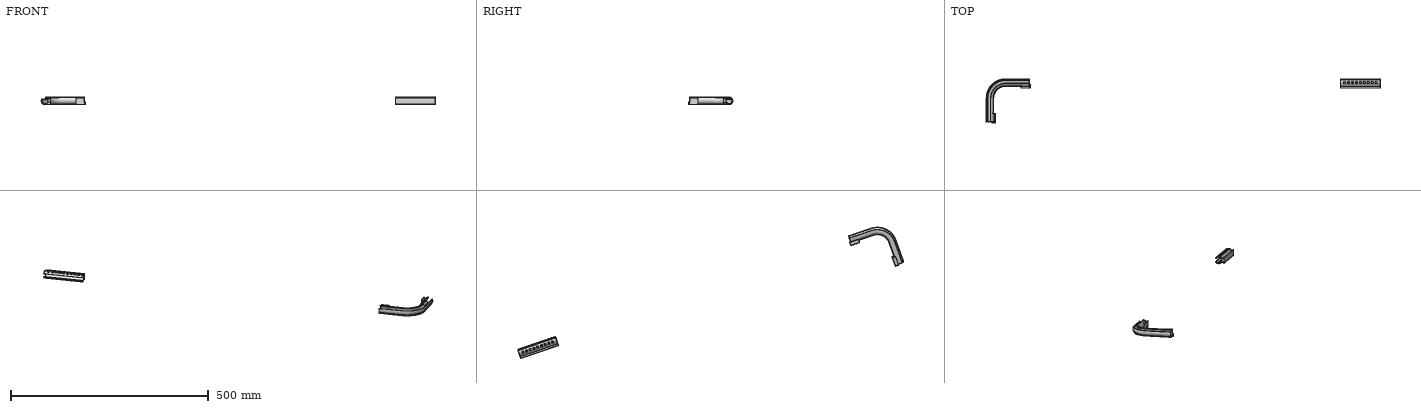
import cadquery as cq
import math

TUBE_RADIUS = 9.5
TUBE_BORE_RADIUS = 7.5

FOOT_FACE_OFFSET = 14.0
FOOT_FACE_HALF_HEIGHT = 7.5
GROOVE_OFFSET = 10.0
GROOVE_HALF_HEIGHT = 4.5
FOOT_ROOT_ANGLE = 134

BEND_RADIUS = 40.0
BEND_ANGLE = 90
DIAGONAL_NORMAL = cq.Vector(1, 1, 0)
ARM_LENGTH = 60.0
ELBOW_SLOT_ANGLES = (30, 102)
ELBOW_FOOT_LENGTH = 21.0
ELBOW_CORNER_OFFSET = 5.5
TONGUE_REACH = 2.5
TONGUE_INNER_OFFSET = 5.0
TONGUE_TOP = -3.2
TONGUE_TIP_INSET = 0.5

OVERALL_LENGTH = 997.0
RAIL_LENGTH = 101.0
RAIL_SLOT_WIDTH = 9.0
HOLE_DIAMETER = 5.0
HOLE_PITCH = 10.0
HOLE_COUNT = 9

ARM_END = BEND_RADIUS + ARM_LENGTH
RAIL_END = OVERALL_LENGTH - TUBE_RADIUS
RAIL_START = RAIL_END - RAIL_LENGTH


def polar(radius, degrees):
    """Section point (y, z) at an angle from the outward direction (+Y) toward +Z."""
    angle = math.radians(degrees)
    return (radius * math.cos(angle), radius * math.sin(angle))


def section_plane(x):
    """Plane across the tube, with local axes along Y and Z."""
    return cq.Workplane("YZ", origin=(x, 0, 0))


def slotted_tube_section(x, slot_from, slot_to):
    """C-shaped wall section, open between two angles."""
    middle = (slot_from + slot_to) / 2 + 180
    return (
        section_plane(x)
        .moveTo(*polar(TUBE_RADIUS, slot_to))
        .threePointArc(polar(TUBE_RADIUS, middle), polar(TUBE_RADIUS, slot_from))
        .lineTo(*polar(TUBE_BORE_RADIUS, slot_from))
        .threePointArc(polar(TUBE_BORE_RADIUS, middle), polar(TUBE_BORE_RADIUS, slot_to))
        .close()
    )


def bore(x, length):
    return section_plane(x).circle(TUBE_BORE_RADIUS).extrude(length)


def foot(x, length):
    """Dovetail foot with a V groove between it and the tube, above and below."""
    root_y, root_z = polar(TUBE_RADIUS, FOOT_ROOT_ANGLE)
    upper = [
        (root_y, root_z),
        (-GROOVE_OFFSET, GROOVE_HALF_HEIGHT),
        (-FOOT_FACE_OFFSET, FOOT_FACE_HALF_HEIGHT),
    ]
    lower = [(y, -z) for y, z in reversed(upper)]
    return section_plane(x).polyline(upper + lower).close().extrude(length).cut(bore(x, length))


def tongue(x, length, face_offset):
    """Bar under the foot, from the tube's underside out to the given face offset."""
    bar = cq.Workplane("XY").box(
        length,
        face_offset - TONGUE_INNER_OFFSET,
        TUBE_RADIUS + TONGUE_TOP,
        centered=False,
    )
    return bar.translate((x, -face_offset, -TUBE_RADIUS)).cut(bore(x, length))


def revolve_bend(section):
    """Turn a section at the start of an arm through the bend."""
    return section.revolve(BEND_ANGLE, (-BEND_RADIUS, 0, 0), (-BEND_RADIUS, 1, 0))


def corner_section(x):
    """Square corner that fills in the outward side of the tube's underside."""
    corner_z = -math.sqrt(TUBE_RADIUS**2 - ELBOW_CORNER_OFFSET**2)
    return (
        section_plane(x)
        .moveTo(0, -TUBE_RADIUS)
        .lineTo(ELBOW_CORNER_OFFSET, -TUBE_RADIUS)
        .lineTo(ELBOW_CORNER_OFFSET, corner_z)
        .radiusArc((0, -TUBE_RADIUS), TUBE_RADIUS)
        .close()
    )


def make_arm():
    """Straight arm along X, with its foot at the far end and the tongue's tip beyond it."""
    foot_start = ARM_END - ELBOW_FOOT_LENGTH
    tip_face_offset = FOOT_FACE_OFFSET - TONGUE_TIP_INSET
    tube = slotted_tube_section(BEND_RADIUS, *ELBOW_SLOT_ANGLES).extrude(ARM_LENGTH)
    corner = corner_section(BEND_RADIUS).extrude(ARM_LENGTH)
    return (
        tube.union(corner)
        .union(foot(foot_start, ELBOW_FOOT_LENGTH))
        .union(tongue(foot_start, ELBOW_FOOT_LENGTH, FOOT_FACE_OFFSET))
        .union(tongue(ARM_END, TONGUE_REACH, tip_face_offset))
    )


def make_elbow():
    """Bend joining two arms, the second mirrored from the first across the bend's diagonal."""
    arm = make_arm()
    bend = revolve_bend(slotted_tube_section(BEND_RADIUS, *ELBOW_SLOT_ANGLES))
    bend = bend.union(revolve_bend(corner_section(BEND_RADIUS)))
    mirrored_arm = cq.Workplane(arm.val().mirror(DIAGONAL_NORMAL))
    return bend.union(arm).union(mirrored_arm)


def make_rail():
    """Straight slotted tube with a full-length foot and a row of holes through both walls."""
    half_slot_angle = math.degrees(math.asin(RAIL_SLOT_WIDTH / 2 / TUBE_RADIUS))
    tube = slotted_tube_section(RAIL_START, -half_slot_angle, half_slot_angle).extrude(RAIL_LENGTH)
    rail_centre = (RAIL_START + RAIL_END) / 2
    holes = (
        cq.Workplane("XY", origin=(rail_centre, 0, 0))
        .rarray(HOLE_PITCH, 10, HOLE_COUNT, 1)
        .circle(HOLE_DIAMETER / 2)
        .extrude(TUBE_RADIUS, both=True)
    )
    return tube.union(foot(RAIL_START, RAIL_LENGTH)).cut(holes)


elbow = make_elbow()
rail = make_rail()

result = cq.Compound.makeCompound([elbow.solids().val(), rail.solids().val()])